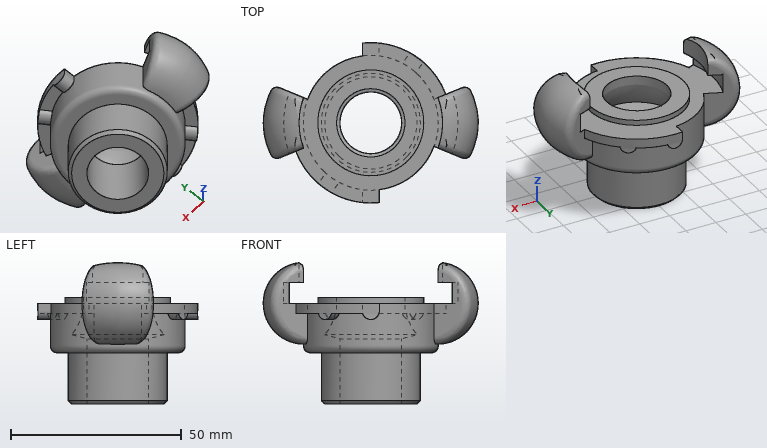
import cadquery as cq
import math

spigot_radius = 29.0 / 2
spigot_chamfer = 1.0
collar_bottom = 15.0
body_radius = 39.5 / 2
body_edge_radius = 2.0
face_height = 29.5
seal_ring_radius = 31.0 / 2
seal_ring_height = 1.7
part_height = face_height + seal_ring_height

hole_radius = 18.0 / 2
lip_radius = 20.0 / 2
lip_depth = 3.0
chamber_radius = 13.5
chamber_bottom = 20.3
chamber_wall_bulge = 0.57
floor_slope = math.radians(15)

flange_radius = 47.0 / 2
flange_thickness = 3.0
flange_bottom = face_height - flange_thickness
bump_radius = 2.5
bump_drop = 1.75
bump_axis_height = flange_bottom - bump_drop + bump_radius
bump_spacing_angle = 35.0

claw_round_radius = 12.0
claw_reach = 31.5
claw_round_center = claw_reach - claw_round_radius
claw_barrel_radius = 20.75
claw_barrel_axis = claw_reach - claw_barrel_radius
claw_half_angle = math.radians(22.5)
claw_wedge_apex = 1.8
claw_wedge_start = 18.2
claw_edge_radius = 2.0
claw_tip_radius = 21.0
claw_slot_radius = 25.5
claw_slot_top = face_height + 6.05
claw_crown_radius = 28.0
claw_crown_height = face_height + math.sqrt(
    claw_round_radius**2 - (claw_tip_radius - claw_round_center) ** 2
)

margin = 5.0


def cylinder(radius, bottom, top):
    return cq.Workplane("XY").workplane(offset=bottom).circle(radius).extrude(top - bottom)


def half_turn(shape):
    """The same shape on the opposite side of the Z axis."""
    return shape.rotate((0, 0, 0), (0, 0, 1), 180)


def make_body():
    spigot = cylinder(spigot_radius, 0, collar_bottom).faces("<Z").chamfer(spigot_chamfer)
    barrel = cylinder(body_radius, collar_bottom, face_height)
    barrel = barrel.faces("<Z").edges().fillet(body_edge_radius)
    seal_ring = cylinder(seal_ring_radius, face_height, part_height)
    return spigot.union(barrel).union(seal_ring)


def make_bore():
    """Revolved cutter for everything inside the body."""
    lip_bottom = part_height - lip_depth
    floor_drop = (chamber_radius - hole_radius) * math.tan(floor_slope)
    wall_radial = chamber_radius - lip_radius
    wall_drop = lip_bottom - chamber_bottom
    wall_length = math.hypot(wall_radial, wall_drop)
    wall_middle = (
        (lip_radius + chamber_radius) / 2 - chamber_wall_bulge * wall_drop / wall_length,
        (lip_bottom + chamber_bottom) / 2 - chamber_wall_bulge * wall_radial / wall_length,
    )
    return (
        cq.Workplane("XZ")
        .moveTo(0, -margin)
        .lineTo(hole_radius, -margin)
        .lineTo(hole_radius, chamber_bottom - floor_drop)
        .lineTo(chamber_radius, chamber_bottom)
        .threePointArc(wall_middle, (lip_radius, lip_bottom))
        .lineTo(lip_radius, part_height + margin)
        .lineTo(0, part_height + margin)
        .close()
        .revolve(360, (0, 0, 0), (0, 1, 0))
    )


def make_half_flange():
    """The half flange on the -Y side, from its step at +X round to the claw at -X."""
    disc = cylinder(flange_radius, flange_bottom, face_height)
    quarter_and_step = (
        cq.Workplane("XY")
        .workplane(offset=flange_bottom)
        .moveTo(bump_radius, 0)
        .lineTo(bump_radius, -flange_radius)
        .lineTo(-flange_radius, -flange_radius)
        .lineTo(-flange_radius, 0)
        .close()
        .extrude(flange_thickness)
    )
    end_corner = (
        cq.Workplane("XY")
        .box(bump_radius, flange_radius, bump_axis_height - flange_bottom, centered=False)
        .translate((0, -flange_radius, flange_bottom))
    )
    flange = disc.intersect(quarter_and_step).cut(end_corner)

    bump = cq.Workplane("XZ").center(0, bump_axis_height).circle(bump_radius)
    bump = bump.extrude(flange_radius + margin)
    bump = bump.intersect(cylinder(flange_radius, 0, face_height))
    for angle in (0, -bump_spacing_angle):
        flange = flange.union(bump.rotate((0, 0, 0), (0, 0, 1), angle))
    return flange


def make_claw_barrel():
    """Arc of the claw outline, turned about an upright axis."""
    axis = -claw_barrel_axis
    half_chord = math.sqrt(claw_round_radius**2 - (claw_round_center - claw_barrel_axis) ** 2)
    return (
        cq.Workplane("XZ")
        .moveTo(axis, face_height - half_chord)
        .threePointArc((-claw_reach, face_height), (axis, face_height + half_chord))
        .close()
        .revolve(360, (axis, 0, 0), (axis, 1, 0))
    )


def make_claw_wedge():
    """Upright wedge that gives the claw its flat flanks."""
    wedge_end = claw_reach + margin
    half_width_start = (claw_wedge_start - claw_wedge_apex) * math.tan(claw_half_angle)
    half_width_end = (wedge_end - claw_wedge_apex) * math.tan(claw_half_angle)
    return (
        cq.Workplane("XY")
        .moveTo(-claw_wedge_start, half_width_start)
        .lineTo(-wedge_end, half_width_end)
        .lineTo(-wedge_end, -half_width_end)
        .lineTo(-claw_wedge_start, -half_width_start)
        .close()
        .extrude(claw_crown_height + margin)
    )


def make_claw():
    """The claw on the -X side."""
    crown = (
        cq.Workplane("YZ")
        .center(0, claw_crown_height - claw_crown_radius)
        .circle(claw_crown_radius)
        .extrude(-claw_reach - margin)
    )
    claw = make_claw_barrel().intersect(make_claw_wedge()).intersect(crown)
    flanks = claw.faces("<Y or >Y").edges("not >X")
    claw = flanks.fillet(claw_edge_radius)

    slot = cylinder(claw_slot_radius, face_height, claw_slot_top)
    tip_clearance = cylinder(claw_tip_radius, face_height, claw_crown_height + margin)
    return claw.cut(slot).cut(tip_clearance)


result = make_body()
for feature in (make_half_flange(), make_claw()):
    result = result.union(feature).union(half_turn(feature))
result = result.cut(make_bore()).solids()